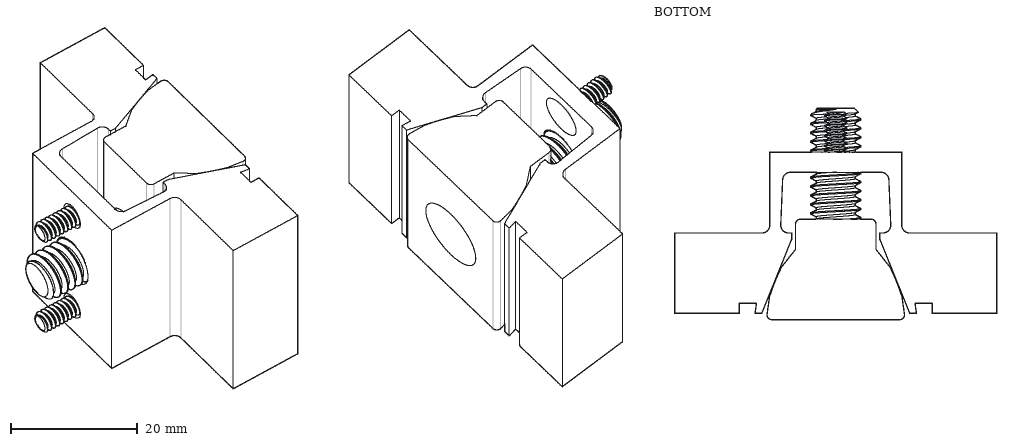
import cadquery as cq
import math


LENGTH = 31.75
GUIDE_ANGLE = math.radians(22)

BODY_HALF_WIDTH = 50.8 / 2
LEG_HALF_WIDTH = 10.41
FLOOR_THICKNESS = 3.175
FLANGE_BOTTOM = 12.7
FLANGE_TOP = 25.4
CHANNEL_HALF_WIDTH_BOTTOM = 8.3
CHANNEL_HALF_WIDTH_TOP = 8.7
LIP_HALF_GAP = 6.93
GUIDE_HALF_GAP_TOP = 11.65
BODY_FILLET = 1.2
GROOVE_OUTER = 15.2
GROOVE_INNER = 12.75
GROOVE_DEPTH = 1.6
GROOVE_UNDERCUT = 0.25

WEDGE_TOP = 26.4
WEDGE_HEIGHT = 15.875
WEDGE_BOTTOM = WEDGE_TOP - WEDGE_HEIGHT
WEDGE_NECK_HALF_WIDTH = 6.35
WEDGE_NECK_TOP = 15.3
WEDGE_UPPER_TAPER = math.radians(8)
WEDGE_CORNER_RADIUS = 0.8
CONTACT_UPPER_Y = 22.75
CONTACT_LOWER_Y = 18.1
CONTACT_MIDDLE_Y = (CONTACT_UPPER_Y + CONTACT_LOWER_Y) / 2
CROWN_END_GAP = 0.13
CROWN_MIDDLE_GAP = 0.03

CAP_DIAMETER = 7.94
CAP_PITCH = 25.4 / 18
CAP_LENGTH = 25.4
CAP_HEAD_DIAMETER = 11.9
CAP_HEAD_HEIGHT = CAP_DIAMETER
CAP_TIP_CHAMFER = 1.04
CAP_HEAD_BOTTOM = WEDGE_TOP - CAP_HEAD_HEIGHT
CAP_TIP = CAP_HEAD_BOTTOM - CAP_LENGTH
CAP_HOLE_DIAMETER = 8.33

FLAT_DIAMETER = 3.505
FLAT_PITCH = 25.4 / 32
FLAT_LENGTH = 9.525
FLAT_HEAD_DIAMETER = 7.1
FLAT_HEAD_HALF_ANGLE = math.radians(41)
FLAT_TIP_CHAMFER = 0.4
FLAT_HEAD_HEIGHT = (FLAT_HEAD_DIAMETER - FLAT_DIAMETER) / 2 / math.tan(FLAT_HEAD_HALF_ANGLE)
FLAT_TIP = FLOOR_THICKNESS - FLAT_LENGTH
FLAT_HOLE_DIAMETER = 4.33
FLAT_SPACING = 20.64

THREAD_DEPTH = 0.6134
GROOVE_ROOT_WIDTH = 0.25
GROOVE_CREST_WIDTH = 0.875
GROOVE_OVERSHOOT = 0.03
TRIM_MARGIN = 0.2
FLANK_SLOPE = math.tan(math.radians(30))


def axis_plane(y, z=0):
    """Plane facing +Y whose local x points along +Z."""
    return cq.Plane(origin=(0, y, z), xDir=(0, 0, 1), normal=(0, 1, 0))


def cylinder_along_y(diameter, y_start, y_end, z=0):
    return cq.Workplane(axis_plane(y_start, z)).circle(diameter / 2).extrude(y_end - y_start)


def flat_head_cone(z):
    """Conical head of a flat-head screw, widest at the channel floor."""
    return (
        cq.Workplane(axis_plane(FLOOR_THICKNESS - FLAT_HEAD_HEIGHT, z))
        .circle(FLAT_DIAMETER / 2)
        .workplane(offset=FLAT_HEAD_HEIGHT)
        .circle(FLAT_HEAD_DIAMETER / 2)
        .loft()
    )


def guide_x(y):
    """Half gap between the body's wedge faces at height y."""
    return GUIDE_HALF_GAP_TOP - (FLANGE_TOP - y) * math.tan(GUIDE_ANGLE)


def extrude_profile(profile):
    return profile.close().extrude(LENGTH / 2, both=True)


def fillet_z_edges(solid, corners, radius):
    """Fillet the Z edges that pass through the given (x, y) corners, on both sides."""
    for x, y in corners:
        for side in (-1, 1):
            solid = solid.edges(cq.NearestToPointSelector((side * x, y, 0))).fillet(radius)
    return solid


def make_body(flat_positions):
    lip_top = FLANGE_TOP - (GUIDE_HALF_GAP_TOP - LIP_HALF_GAP) / math.tan(GUIDE_ANGLE)
    groove_floor = FLANGE_TOP - GROOVE_DEPTH
    half_outline = [
        (LEG_HALF_WIDTH, 0),
        (LEG_HALF_WIDTH, FLANGE_BOTTOM),
        (BODY_HALF_WIDTH, FLANGE_BOTTOM),
        (BODY_HALF_WIDTH, FLANGE_TOP),
        (GROOVE_OUTER, FLANGE_TOP),
        (GROOVE_OUTER, groove_floor),
        (GROOVE_INNER - GROOVE_UNDERCUT, groove_floor),
        (GROOVE_INNER, FLANGE_TOP),
        (GUIDE_HALF_GAP_TOP, FLANGE_TOP),
        (LIP_HALF_GAP, lip_top),
        (LIP_HALF_GAP, FLANGE_BOTTOM),
        (CHANNEL_HALF_WIDTH_TOP, FLANGE_BOTTOM),
        (CHANNEL_HALF_WIDTH_BOTTOM, FLOOR_THICKNESS),
    ]
    mirrored_outline = [(-x, y) for x, y in reversed(half_outline)]
    body = extrude_profile(cq.Workplane("XY").polyline(half_outline + mirrored_outline))
    filleted_corners = [
        (LEG_HALF_WIDTH, FLANGE_BOTTOM),
        (CHANNEL_HALF_WIDTH_TOP, FLANGE_BOTTOM),
        (CHANNEL_HALF_WIDTH_BOTTOM, FLOOR_THICKNESS),
    ]
    body = fillet_z_edges(body, filleted_corners, BODY_FILLET)
    body = body.cut(cylinder_along_y(CAP_HOLE_DIAMETER, 0, FLOOR_THICKNESS))
    for z in flat_positions:
        body = body.cut(cylinder_along_y(FLAT_HOLE_DIAMETER, 0, FLOOR_THICKNESS, z))
        body = body.cut(flat_head_cone(z))
    return body


def make_wedge():
    upper = (guide_x(CONTACT_UPPER_Y) - CROWN_END_GAP, CONTACT_UPPER_Y)
    middle = (guide_x(CONTACT_MIDDLE_Y) - CROWN_MIDDLE_GAP, CONTACT_MIDDLE_Y)
    lower = (guide_x(CONTACT_LOWER_Y) - CROWN_END_GAP, CONTACT_LOWER_Y)
    top_half_width = upper[0] + (WEDGE_TOP - CONTACT_UPPER_Y) * math.tan(WEDGE_UPPER_TAPER)
    half = extrude_profile(
        cq.Workplane("XY")
        .moveTo(0, WEDGE_BOTTOM)
        .lineTo(WEDGE_NECK_HALF_WIDTH, WEDGE_BOTTOM)
        .lineTo(WEDGE_NECK_HALF_WIDTH, WEDGE_NECK_TOP)
        .lineTo(*lower)
        .threePointArc(middle, upper)
        .lineTo(top_half_width, WEDGE_TOP)
        .lineTo(0, WEDGE_TOP)
    )
    wedge = half.union(half.mirror("YZ")).clean()
    rounded_corners = [(WEDGE_NECK_HALF_WIDTH, WEDGE_BOTTOM), (top_half_width, WEDGE_TOP)]
    wedge = fillet_z_edges(wedge, rounded_corners, WEDGE_CORNER_RADIUS)
    wedge = wedge.cut(cylinder_along_y(CAP_HOLE_DIAMETER, WEDGE_BOTTOM, CAP_HEAD_BOTTOM))
    return wedge.cut(cylinder_along_y(CAP_HEAD_DIAMETER, CAP_HEAD_BOTTOM, WEDGE_TOP))


def make_threaded_shank(diameter, pitch, length, tip_chamfer):
    """Right-hand threaded shank along local +Z with its chamfered tip at the origin."""
    crest = diameter / 2
    root = crest - THREAD_DEPTH * pitch
    outside = crest + GROOVE_OVERSHOOT * pitch
    root_half = GROOVE_ROOT_WIDTH * pitch / 2
    outside_half = GROOVE_CREST_WIDTH * pitch / 2 + GROOVE_OVERSHOOT * pitch * FLANK_SLOPE
    groove_start = -1.5 * pitch
    groove_length = (math.floor(length / pitch) + 1) * pitch
    helix = cq.Wire.makeHelix(pitch, groove_length, crest).translate(cq.Vector(0, 0, groove_start))
    groove = (
        cq.Workplane("XZ")
        .polyline(
            [
                (root, groove_start - root_half),
                (outside, groove_start - outside_half),
                (outside, groove_start + outside_half),
                (root, groove_start + root_half),
            ]
        )
        .close()
        .sweep(cq.Workplane(obj=helix), isFrenet=True)
    )
    rod_start = 2 * groove_start
    rod = cq.Workplane("XY").workplane(offset=rod_start).circle(crest).extrude(length - rod_start)
    envelope = (
        cq.Workplane("XY")
        .circle(crest + TRIM_MARGIN)
        .extrude(length)
        .faces("<Z")
        .chamfer(tip_chamfer + TRIM_MARGIN)
    )
    return rod.cut(groove).intersect(envelope)


def place_on_y_axis(shape, y, z=0):
    """Move a shape built along local Z so that it runs along +Y from (0, y, z)."""
    return cq.Workplane(obj=shape.val().moved(cq.Location(axis_plane(y, z))))


def make_cap_screw():
    shank = make_threaded_shank(CAP_DIAMETER, CAP_PITCH, CAP_LENGTH, CAP_TIP_CHAMFER)
    head = cylinder_along_y(CAP_HEAD_DIAMETER, CAP_HEAD_BOTTOM, WEDGE_TOP)
    return place_on_y_axis(shank, CAP_TIP).union(head)


def make_flat_screw(z):
    shank_length = FLAT_LENGTH - FLAT_HEAD_HEIGHT
    shank = make_threaded_shank(FLAT_DIAMETER, FLAT_PITCH, shank_length, FLAT_TIP_CHAMFER)
    return place_on_y_axis(shank, FLAT_TIP, z).union(flat_head_cone(z))


flat_positions = (-FLAT_SPACING / 2, FLAT_SPACING / 2)

body = make_body(flat_positions)
wedge = make_wedge()
cap_screw = make_cap_screw()
flat_screws = [make_flat_screw(z) for z in flat_positions]

result = cq.Compound.makeCompound(
    [body.val(), wedge.val(), cap_screw.val(), *[screw.val() for screw in flat_screws]]
)